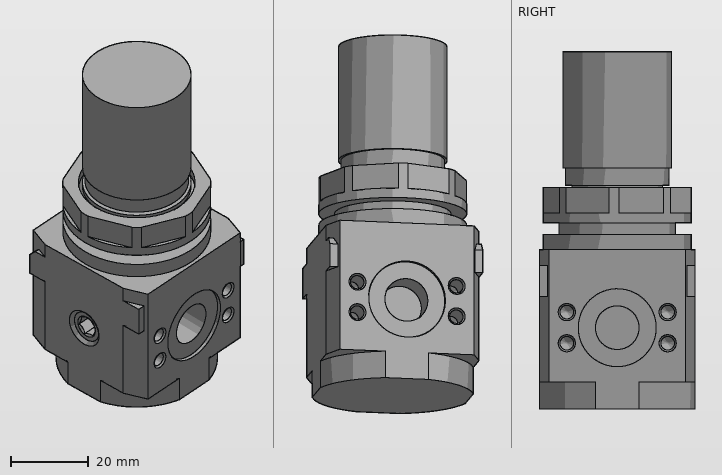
import cadquery as cq
import math

width = 40.0
half_width = width / 2
total_height = 92.0

base_top = 7.0
block_top = 41.0
flange_top = 45.0
nut_bottom = 47.9
flat_bottom = 50.4
neck_top = 55.75
nut_top = 57.0
collar_bottom = 57.6
knob_bottom = 62.0

base_radius = 20.8
flange_radius = 19.0
neck_radius = 15.0
neck_chamfer = 1.0
rim_radius = neck_radius - neck_chamfer
stem_radius = 11.7
collar_radius = 13.3
knob_radius = 14.0

front_flat_half = 13.6
side_flat_half = 17.6

plate_half_length = 19.0
plate_bottom = 29.0
plate_top = 37.0
plate_thickness = 2.8
plate_corner_chamfer = 2.0

port_height = 21.0
port_radius = 5.6
port_depth = 10.0
port_recess_radius = 10.0
port_recess_depth = 1.0

screw_spread_y = 25.9
screw_spread_z = 8.0
screw_radius = 1.75
screw_chamfer = 0.5
screw_depth = 8.0
drill_tip_angle = 118.0
screw_tip_length = screw_radius / math.tan(math.radians(drill_tip_angle / 2))

plug_radius = 4.2
plug_inset = 0.9
plug_length = 8.0
gauge_chamfer = 0.9
socket_across_flats = 5.0
socket_depth = 5.0
socket_angle = -14.0
socket_corner_radius = socket_across_flats / 2 / math.cos(math.pi / 6)
socket_mouth_radius = 3.0
socket_chamfer = socket_mouth_radius - socket_across_flats / 2

nut_radius = flange_radius
nut_flat_count = 8
nut_flat_distance = 18.0
nut_flat_angle = 20.0


def cylinder(radius, bottom, top):
    """Vertical cylinder on the main axis."""
    return cq.Workplane("XY").workplane(offset=bottom).circle(radius).extrude(top - bottom)


def turned_cutter(axis_plane, points):
    """Solid turned about the local Y axis of a plane from (radius, depth) points."""
    return axis_plane.polyline(points).close().revolve(360, (0, 0, 0), (0, 1, 0))


def block():
    """Round base trimmed to the square width, with the bevelled block above it."""
    base = cylinder(base_radius, 0, base_top).intersect(
        cq.Workplane("XY").box(width, width, base_top, centered=(True, True, False))
    )
    outline = [
        (front_flat_half, half_width),
        (half_width, side_flat_half),
        (half_width, -side_flat_half),
        (front_flat_half, -half_width),
        (-front_flat_half, -half_width),
        (-half_width, -side_flat_half),
        (-half_width, side_flat_half),
        (-front_flat_half, half_width),
    ]
    upper = cq.Workplane("XY").workplane(offset=base_top).polyline(outline).close()
    return base.union(upper.extrude(block_top - base_top))


def turned_top():
    """Flange, chamfered neck with its rim, stem, collar and knob, one above the other."""
    neck = cylinder(neck_radius, flange_top, neck_top).faces(">Z").chamfer(neck_chamfer)
    return (
        cylinder(flange_radius, block_top, flange_top)
        .union(neck)
        .union(cylinder(rim_radius, neck_top, nut_top))
        .union(cylinder(stem_radius, nut_top, collar_bottom))
        .union(cylinder(collar_radius, collar_bottom, knob_bottom))
        .union(cylinder(knob_radius, knob_bottom, total_height))
    )


def plate(front_y):
    """Plate reaching back from front_y, with its upper -X corner cut off."""
    outline = [
        (-plate_half_length, plate_bottom),
        (plate_half_length, plate_bottom),
        (plate_half_length, plate_top),
        (-plate_half_length + plate_corner_chamfer, plate_top),
        (-plate_half_length, plate_top - plate_corner_chamfer),
    ]
    face = cq.Workplane("XZ", origin=(0, front_y, 0)).polyline(outline).close()
    return face.extrude(-plate_thickness)


def port_cutter():
    """Pipe port, its shallow recess and four screw holes, entering the -X face."""
    face = cq.Workplane("YZ", origin=(-half_width, 0, port_height))
    cutter = face.circle(port_radius).extrude(port_depth)
    cutter = cutter.union(face.circle(port_recess_radius).extrude(port_recess_depth))
    screw_profile = [
        (0, 0),
        (screw_radius + screw_chamfer, 0),
        (screw_radius, screw_chamfer),
        (screw_radius, screw_depth),
        (0, screw_depth + screw_tip_length),
    ]
    for y in (-screw_spread_y / 2, screw_spread_y / 2):
        for z in (port_height - screw_spread_z / 2, port_height + screw_spread_z / 2):
            plane = cq.Plane(origin=(-half_width, y, z), xDir=(0, 1, 0), normal=(0, 0, -1))
            cutter = cutter.union(turned_cutter(cq.Workplane(plane), screw_profile))
    return cutter


def gauge_port_cutter():
    """Chamfered blind hole in the front face that the plug fills up to its inset."""
    profile = [
        (0, 0),
        (plug_radius + gauge_chamfer, 0),
        (plug_radius, gauge_chamfer),
        (plug_radius, plug_inset + plug_length),
        (0, plug_inset + plug_length),
    ]
    plane = cq.Plane(origin=(0, -half_width, port_height), xDir=(1, 0, 0), normal=(0, 0, 1))
    return turned_cutter(cq.Workplane(plane), profile)


def make_housing():
    body = block().union(turned_top())
    ports = port_cutter()
    body = body.cut(ports).cut(ports.mirror("YZ")).cut(gauge_port_cutter())
    for front_y in (-half_width, half_width - plate_thickness):
        flow_plate = plate(front_y)
        body = body.cut(flow_plate, clean=False).union(flow_plate, clean=False)
    return body


def make_nut():
    nut = cylinder(nut_radius, nut_bottom, nut_top).cut(
        cylinder(neck_radius, nut_bottom, nut_top)
    )
    flats_radius = nut_flat_distance / math.cos(math.pi / nut_flat_count)
    core = (
        cq.Workplane("XY")
        .workplane(offset=flat_bottom)
        .polygon(nut_flat_count, 2 * flats_radius)
        .extrude(nut_top - flat_bottom)
        .rotate((0, 0, 0), (0, 0, 1), nut_flat_angle + 180 / nut_flat_count)
    )
    return nut.cut(cylinder(nut_radius, flat_bottom, nut_top).cut(core))


def make_plug():
    face = cq.Workplane("XZ", origin=(0, plug_inset - half_width, port_height))
    plug = face.circle(plug_radius).extrude(-plug_length)
    socket = (
        face.polygon(6, 2 * socket_corner_radius)
        .extrude(-socket_depth)
        .rotate((0, 0, port_height), (0, 1, port_height), socket_angle)
    )
    mouth = cq.Workplane(
        cq.Solid.makeCone(
            socket_mouth_radius,
            socket_mouth_radius - socket_chamfer,
            socket_chamfer,
            pnt=cq.Vector(0, plug_inset - half_width, port_height),
            dir=cq.Vector(0, 1, 0),
        )
    )
    return plug.cut(socket).cut(mouth)


housing = make_housing()
nut = make_nut()
plug = make_plug()
result = cq.Compound.makeCompound([housing.val(), nut.val(), plug.val()])